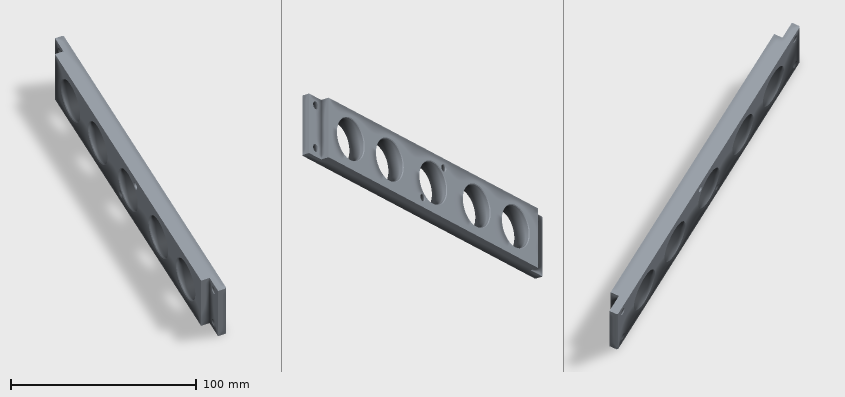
import cadquery as cq

LENGTH = 209.8
THICKNESS = 10.0
HEIGHT = 35.0

FLANGE_LENGTH = 11.0
FLANGE_THICKNESS = THICKNESS / 2

BORE_DIAMETER = 24.1
INNER_BORE_OFFSET = 39.0
OUTER_BORE_OFFSET = 74.0

MOUNT_DIAMETER = 4.5
MOUNT_EDGE_DISTANCE = 5.9
MOUNT_HALF_SPACING = 12.5

SMALL_DIAMETER = 3.5
SMALL_X = 9.5
SMALL_Z = 12.0

RIM_CHAMFER = 0.5
END_CHAMFER = 0.6
FRONT_Y = -THICKNESS / 2


def through_holes(diameter, centres):
    """Cylinders along Y through the full thickness at the given (x, z) centres."""
    return (
        cq.Workplane("XZ")
        .pushPoints(centres)
        .circle(diameter / 2)
        .extrude(THICKNESS, both=True)
    )


def rim_chamfers(diameter, centres):
    """Cones that break the front rims of holes at the given (x, z) centres."""
    cones = cq.Workplane("XY")
    for x, z in centres:
        cone = cq.Solid.makeCone(
            diameter / 2 + RIM_CHAMFER,
            diameter / 2,
            RIM_CHAMFER,
            pnt=cq.Vector(x, FRONT_Y, z),
            dir=cq.Vector(0, 1, 0),
        )
        cones = cones.add(cone)
    return cones.combine()


def stepped_bar():
    """Full-length back plate with a shorter raised block on its front."""
    back_plate = cq.Workplane("XY").box(LENGTH, FLANGE_THICKNESS, HEIGHT)
    back_plate = back_plate.translate((0, (THICKNESS - FLANGE_THICKNESS) / 2, 0))
    back_plate = back_plate.faces(">Y").edges("|Z").chamfer(END_CHAMFER)
    block = cq.Workplane("XY").box(LENGTH - 2 * FLANGE_LENGTH, THICKNESS, HEIGHT)
    return back_plate.union(block)


bore_offsets = (-OUTER_BORE_OFFSET, -INNER_BORE_OFFSET, 0, INNER_BORE_OFFSET, OUTER_BORE_OFFSET)
bore_centres = [(x, 0) for x in bore_offsets]
mount_x = LENGTH / 2 - MOUNT_EDGE_DISTANCE
mount_centres = [(x, z) for x in (-mount_x, mount_x) for z in (-MOUNT_HALF_SPACING, MOUNT_HALF_SPACING)]
small_centres = [(-SMALL_X, -SMALL_Z), (SMALL_X, SMALL_Z)]

result = (
    stepped_bar()
    .cut(through_holes(BORE_DIAMETER, bore_centres))
    .cut(through_holes(MOUNT_DIAMETER, mount_centres))
    .cut(through_holes(SMALL_DIAMETER, small_centres))
    .cut(rim_chamfers(BORE_DIAMETER, bore_centres))
    .cut(rim_chamfers(SMALL_DIAMETER, small_centres))
)